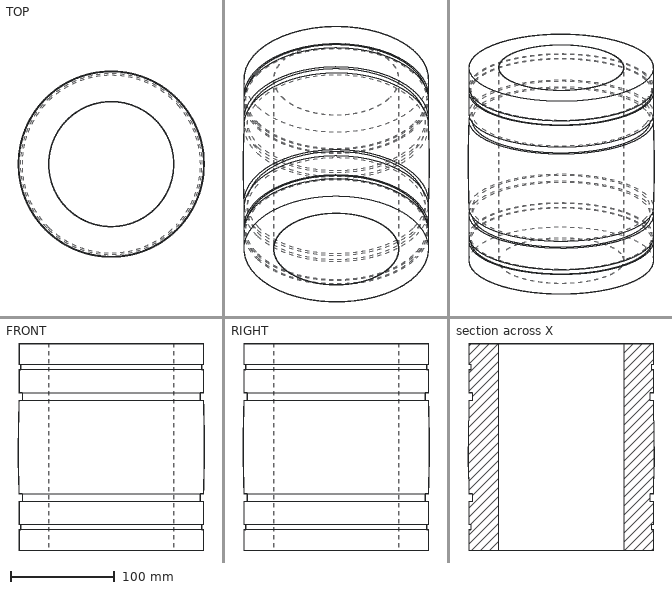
import cadquery as cq

LENGTH = 199.8
CROWN_DIAMETER = 179.8
LAND_DIAMETER = 178.2
BORE_DIAMETER = 120.3
LINER_WALL = 0.4

CROWN_LENGTH = 90.3

WIDE_GROOVE_WIDTH = 7.2
WIDE_GROOVE_DIAMETER = 171.8
NARROW_GROOVE_WIDTH = 4.8
NARROW_GROOVE_DIAMETER = 175.0
END_LAND_WIDTH = 20.4

HALF_LENGTH = LENGTH / 2
HALF_CROWN = CROWN_LENGTH / 2
LINER_OUTER_DIAMETER = BORE_DIAMETER + 2 * LINER_WALL


def make_tube(outer_diameter, inner_diameter, length, bottom):
    """Plain tube along Z, starting at the given height."""
    return (
        cq.Workplane("XY", origin=(0, 0, bottom))
        .circle(outer_diameter / 2)
        .circle(inner_diameter / 2)
        .extrude(length)
    )


def make_crowned_blank():
    """Hollow blank with straight ends and a middle that bulges along an arc."""
    land_radius = LAND_DIAMETER / 2
    bore_radius = LINER_OUTER_DIAMETER / 2
    return (
        cq.Workplane("XZ")
        .moveTo(bore_radius, -HALF_LENGTH)
        .lineTo(land_radius, -HALF_LENGTH)
        .lineTo(land_radius, -HALF_CROWN)
        .threePointArc((CROWN_DIAMETER / 2, 0), (land_radius, HALF_CROWN))
        .lineTo(land_radius, HALF_LENGTH)
        .lineTo(bore_radius, HALF_LENGTH)
        .close()
        .revolve(360, (0, 0, 0), (0, 1, 0))
    )


def make_sleeve():
    """Outer sleeve with two square grooves on each side of its crown."""
    sleeve = make_crowned_blank()
    narrow_groove_top = HALF_LENGTH - END_LAND_WIDTH
    grooves = [
        (WIDE_GROOVE_DIAMETER, WIDE_GROOVE_WIDTH, HALF_CROWN),
        (NARROW_GROOVE_DIAMETER, NARROW_GROOVE_WIDTH, narrow_groove_top - NARROW_GROOVE_WIDTH),
    ]
    for floor_diameter, width, bottom in grooves:
        upper_cutter = make_tube(CROWN_DIAMETER, floor_diameter, width, bottom)
        lower_cutter = upper_cutter.mirror("XY")
        sleeve = sleeve.cut(upper_cutter).cut(lower_cutter)
    return sleeve


def make_liner():
    """Thin full-length liner that fills the bore of the sleeve."""
    return make_tube(LINER_OUTER_DIAMETER, BORE_DIAMETER, LENGTH, -HALF_LENGTH)


sleeve = make_sleeve()
liner = make_liner()

result = cq.Compound.makeCompound([sleeve.val(), liner.val()])